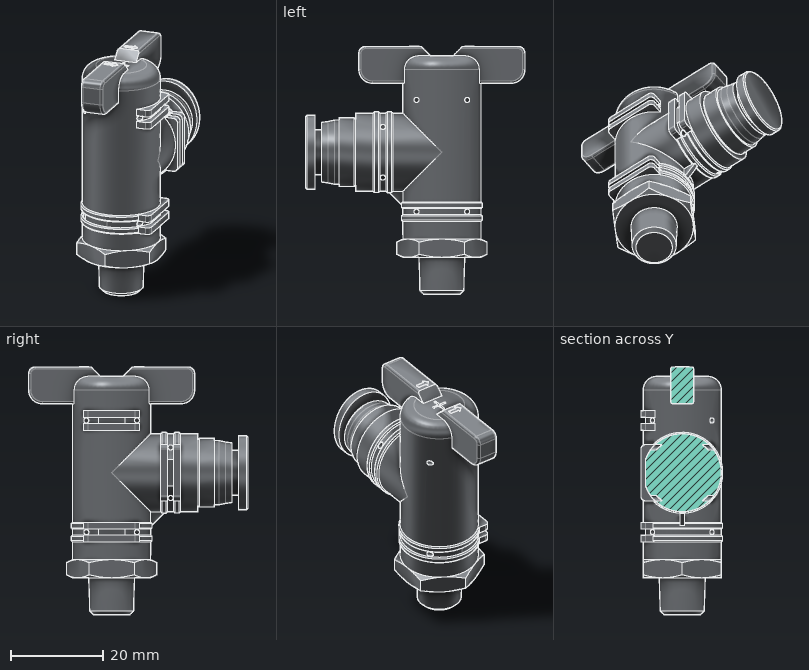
import cadquery as cq
import math


BODY_RADIUS = 8.5
CAP_TOP_Z = 51.8
CAP_FILLET = 3.0

NUT_ACROSS_FLATS = 2 * BODY_RADIUS
NUT_BOTTOM_Z = 8.05
NUT_HEIGHT = 3.95
NUT_CHAMFER_HEIGHT = 0.65

THREAD_TIP_RADIUS = 3.95
THREAD_CHAMFER = 0.85
THREAD_TAPER = 1 / 16

PORT_Z = 30.85
PORT_END_Y = 18.7
COLLAR_RADIUS = 7.5
COLLAR_CHAMFER = 0.35
COLLAR_END_Y = 22.3
CONE_RADIUS = 7.0
CONE_START_Y = 23.25
CONE_END_RADIUS = 6.7
CONE_END_Y = 24.7
TIP_RADIUS = 6.5
TIP_END_Y = 26.15
NECK_RADIUS = 4.9

FLANGE_HALF_WIDTH = 7.0
FLANGE_HALF_HEIGHT = 8.05
FLANGE_START_Y = 27.5
FLANGE_END_Y = 29.6
FLANGE_CHAMFER = 0.3

LOWER_CLIP_Z = 17.95
UPPER_CLIP_Z = 42.2
PORT_CLIP_Y = 12.8
RIB_WIDTH = 1.5
RIB_GAP = 1.3
RING_HEIGHT = 0.3
RING_RADIUS = BODY_RADIUS + RING_HEIGHT
TAB_REACH = 9.0
TAB_HALF_LENGTH = 6.1
TAB_CORNER_RADIUS = 1.0
GAP_FLOOR = TAB_REACH - TAB_CORNER_RADIUS
PIN_DIAMETER = 1.1
PIN_OFFSET = 5.5
PIN_FLOOR_RADIUS = BODY_RADIUS - 1.0

GUSSET_THICKNESS = 1.0
GUSSET_REACH_Y = 11.7

HANDLE_WIDTH = 5.0
HANDLE_HALF_LENGTH = 18.05
HANDLE_BOTTOM_Z = 45.8
HANDLE_TOP_Z = 53.85
HANDLE_TOP_RADIUS = 1.5
HANDLE_BOTTOM_RADIUS = 3.0
HANDLE_EDGE_FILLET = 0.5
HANDLE_GAP_HALF = 2.45

ARROW_HEIGHT = 0.1
ARROW_CENTRE_Y = 6.0
ARROW_TAIL_X = -1.5
ARROW_NECK_X = 0.5
ARROW_TIP_X = 1.5
ARROW_SHAFT_WIDTH = 0.9
ARROW_HEAD_WIDTH = 2.0

CROSS_HALF_LENGTH = 1.68
CROSS_SLOT_WIDTH = 0.42
CROSS_DEPTH = CROSS_HALF_LENGTH


def turn_seam(shape):
    """Spin a round shape about Z so its seam lies clear of the mitre between body and port."""
    return shape.rotate((0, 0, 0), (0, 0, 1), -90)


def make_body():
    """Cylinder from inside the nut up to the rounded cap."""
    bottom = NUT_BOTTOM_Z + NUT_HEIGHT / 2
    body = cq.Workplane("XY").workplane(offset=bottom).circle(BODY_RADIUS).extrude(CAP_TOP_Z - bottom)
    return turn_seam(body.faces(">Z").edges().fillet(CAP_FILLET))


def make_nut():
    """Hexagon with flats facing +-X and both faces chamfered down to the flats."""
    corner_radius = NUT_ACROSS_FLATS / math.sqrt(3)
    hexagon = (
        cq.Workplane("XY").workplane(offset=NUT_BOTTOM_Z)
        .transformed(rotate=(0, 0, 90))
        .polygon(6, 2 * corner_radius)
        .extrude(NUT_HEIGHT)
    )
    top = NUT_BOTTOM_Z + NUT_HEIGHT
    envelope = (
        cq.Workplane("XZ")
        .moveTo(0, NUT_BOTTOM_Z)
        .lineTo(NUT_ACROSS_FLATS / 2, NUT_BOTTOM_Z)
        .lineTo(corner_radius, NUT_BOTTOM_Z + NUT_CHAMFER_HEIGHT)
        .lineTo(corner_radius, top - NUT_CHAMFER_HEIGHT)
        .lineTo(NUT_ACROSS_FLATS / 2, top)
        .lineTo(0, top)
        .close()
        .revolve(360, (0, 0, 0), (0, 1, 0))
    )
    return hexagon.intersect(envelope)


def make_thread():
    """Stub that widens towards the nut, with a 45 degree chamfer at its tip."""
    start_radius = THREAD_TIP_RADIUS + THREAD_CHAMFER
    end_radius = start_radius + (NUT_BOTTOM_Z - THREAD_CHAMFER) * THREAD_TAPER / 2
    return (
        cq.Workplane("XZ")
        .lineTo(THREAD_TIP_RADIUS, 0)
        .lineTo(start_radius, THREAD_CHAMFER)
        .lineTo(end_radius, NUT_BOTTOM_Z)
        .lineTo(0, NUT_BOTTOM_Z)
        .close()
        .revolve(360, (0, 0, 0), (0, 1, 0))
    )


def onto_port(shape):
    """Turn a shape built about the Z axis onto the port axis (+Z becomes +Y)."""
    return shape.rotate((0, 0, 0), (1, 0, 0), -90).translate((0, 0, PORT_Z))


def make_port():
    """Stepped barrel with an elliptical flange at its outer end."""
    barrel = (
        cq.Workplane("XZ")
        .lineTo(BODY_RADIUS, 0)
        .lineTo(BODY_RADIUS, PORT_END_Y)
        .lineTo(COLLAR_RADIUS - COLLAR_CHAMFER, PORT_END_Y)
        .lineTo(COLLAR_RADIUS, PORT_END_Y + COLLAR_CHAMFER)
        .lineTo(COLLAR_RADIUS, COLLAR_END_Y)
        .lineTo(CONE_RADIUS, COLLAR_END_Y)
        .lineTo(CONE_RADIUS, CONE_START_Y)
        .lineTo(CONE_END_RADIUS, CONE_END_Y)
        .lineTo(TIP_RADIUS, TIP_END_Y)
        .lineTo(NECK_RADIUS, TIP_END_Y)
        .lineTo(NECK_RADIUS, FLANGE_START_Y)
        .lineTo(0, FLANGE_START_Y)
        .close()
        .revolve(360, (0, 0, 0), (0, 1, 0))
    )
    flange = (
        cq.Workplane("XY").workplane(offset=FLANGE_START_Y)
        .ellipse(FLANGE_HALF_WIDTH, FLANGE_HALF_HEIGHT)
        .extrude(FLANGE_END_Y - FLANGE_START_Y)
        .faces(">Z").edges().chamfer(FLANGE_CHAMFER)
    )
    return onto_port(turn_seam(barrel).union(flange))


def rib_centres():
    """Positions of the two ribs of a clip along its own axis."""
    offset = (RIB_WIDTH + RIB_GAP) / 2
    return (-offset, offset)


def clip_tabs():
    """Two parallel tabs that stand out on the +X side."""
    tabs = cq.Workplane("XY")
    for centre in rib_centres():
        tab = (
            cq.Workplane("XY")
            .box(TAB_REACH, 2 * TAB_HALF_LENGTH, RIB_WIDTH, centered=(False, True, True))
            .edges("|Z and >X").fillet(TAB_CORNER_RADIUS)
            .translate((0, 0, centre))
        )
        tabs = tabs.union(tab)
    return tabs


def clip_rings():
    """Two raised rings with 45 degree flanks that start inside the body.

    The profile lies on the -X side so the seam of the revolved faces stays clear of the tabs.
    """
    root_radius = BODY_RADIUS - RING_HEIGHT
    root_half_width = RIB_WIDTH / 2 + RING_HEIGHT
    crest_half_width = RIB_WIDTH / 2 - RING_HEIGHT
    rings = cq.Workplane("XY")
    for centre in rib_centres():
        ring = (
            cq.Workplane("XZ")
            .moveTo(0, centre - root_half_width)
            .lineTo(-root_radius, centre - root_half_width)
            .lineTo(-RING_RADIUS, centre - crest_half_width)
            .lineTo(-RING_RADIUS, centre + crest_half_width)
            .lineTo(-root_radius, centre + root_half_width)
            .lineTo(0, centre + root_half_width)
            .close()
            .revolve(360, (0, 0, 0), (0, 1, 0))
        )
        rings = rings.union(ring)
    return rings


def clip_cuts():
    """Flat channel between the tabs, and pin holes along X that end on an inner cylinder."""
    channel = (
        cq.Workplane("XY")
        .box(BODY_RADIUS, 2 * BODY_RADIUS, RIB_GAP, centered=(False, True, True))
        .translate((GAP_FLOOR, 0, 0))
    )
    pins = (
        cq.Workplane("YZ")
        .pushPoints([(-PIN_OFFSET, 0), (PIN_OFFSET, 0)])
        .circle(PIN_DIAMETER / 2)
        .extrude(BODY_RADIUS, both=True)
    )
    core = cq.Workplane("XY").circle(PIN_FLOOR_RADIUS).extrude(PIN_DIAMETER, both=True)
    return channel.union(pins.cut(core))


def make_gusset():
    """Thin 45 degree web in the inner corner below the port."""
    port_bottom = PORT_Z - BODY_RADIUS
    root_y = BODY_RADIUS / 2
    rise = GUSSET_REACH_Y - root_y
    return (
        cq.Workplane("YZ")
        .moveTo(root_y, port_bottom - rise)
        .lineTo(GUSSET_REACH_Y, port_bottom)
        .lineTo(GUSSET_REACH_Y, PORT_Z)
        .lineTo(root_y, PORT_Z)
        .close()
        .extrude(GUSSET_THICKNESS / 2, both=True)
    )


def make_handle():
    """Lever bar along Y with a 45 degree sided opening over the cap."""
    bar = (
        cq.Workplane("XY").workplane(offset=HANDLE_BOTTOM_Z)
        .rect(HANDLE_WIDTH, 2 * HANDLE_HALF_LENGTH)
        .extrude(HANDLE_TOP_Z - HANDLE_BOTTOM_Z)
    )
    bar = bar.faces(">Z").edges("|X").fillet(HANDLE_TOP_RADIUS)
    bar = bar.faces("<Z").edges("|X").fillet(HANDLE_BOTTOM_RADIUS)
    bar = bar.faces("<X or >X").edges().fillet(HANDLE_EDGE_FILLET)
    top_gap_half = HANDLE_GAP_HALF + HANDLE_TOP_Z - CAP_TOP_Z
    opening = (
        cq.Workplane("YZ")
        .moveTo(-HANDLE_GAP_HALF, CAP_TOP_Z)
        .lineTo(HANDLE_GAP_HALF, CAP_TOP_Z)
        .lineTo(top_gap_half, HANDLE_TOP_Z)
        .lineTo(-top_gap_half, HANDLE_TOP_Z)
        .close()
        .extrude(HANDLE_WIDTH, both=True)
    )
    return bar.cut(opening)


def make_arrows():
    """One thin raised arrow on the top of each handle arm."""
    upper_half = [
        (ARROW_TAIL_X, ARROW_SHAFT_WIDTH / 2),
        (ARROW_NECK_X, ARROW_SHAFT_WIDTH / 2),
        (ARROW_NECK_X, ARROW_HEAD_WIDTH / 2),
    ]
    lower_half = [(x, -y) for x, y in reversed(upper_half)]
    outline = upper_half + [(ARROW_TIP_X, 0)] + lower_half
    arrows = cq.Workplane("XY")
    for centre_y in (-ARROW_CENTRE_Y, ARROW_CENTRE_Y):
        arrow = cq.Workplane("XY").polyline(outline).close().extrude(ARROW_HEIGHT)
        arrows = arrows.union(arrow.translate((0, centre_y, HANDLE_TOP_Z)))
    return arrows


def make_cross_recess():
    """Two crossing V-bottomed slots that deepen towards the axis."""
    recess = cq.Workplane("XY")
    for plane in ("XZ", "YZ"):
        slot = (
            cq.Workplane(plane)
            .moveTo(-CROSS_HALF_LENGTH, CAP_TOP_Z)
            .lineTo(CROSS_HALF_LENGTH, CAP_TOP_Z)
            .lineTo(0, CAP_TOP_Z - CROSS_DEPTH)
            .close()
            .extrude(CROSS_SLOT_WIDTH / 2, both=True)
        )
        recess = recess.union(slot)
    return recess


result = make_body().union(make_nut()).union(make_thread())
result = result.union(clip_rings().translate((0, 0, LOWER_CLIP_Z)))
result = result.union(make_port()).union(onto_port(clip_rings().translate((0, 0, PORT_CLIP_Y))))
result = result.union(make_gusset())
result = result.union(clip_tabs().translate((0, 0, LOWER_CLIP_Z)))
result = result.union(clip_tabs().translate((0, 0, UPPER_CLIP_Z)))
result = result.union(onto_port(clip_tabs().translate((0, 0, PORT_CLIP_Y))))
result = result.union(make_handle()).union(make_arrows())
result = result.cut(clip_cuts().translate((0, 0, LOWER_CLIP_Z)))
result = result.cut(clip_cuts().translate((0, 0, UPPER_CLIP_Z)))
result = result.cut(onto_port(clip_cuts().translate((0, 0, PORT_CLIP_Y))))
result = result.cut(make_cross_recess()).solids()